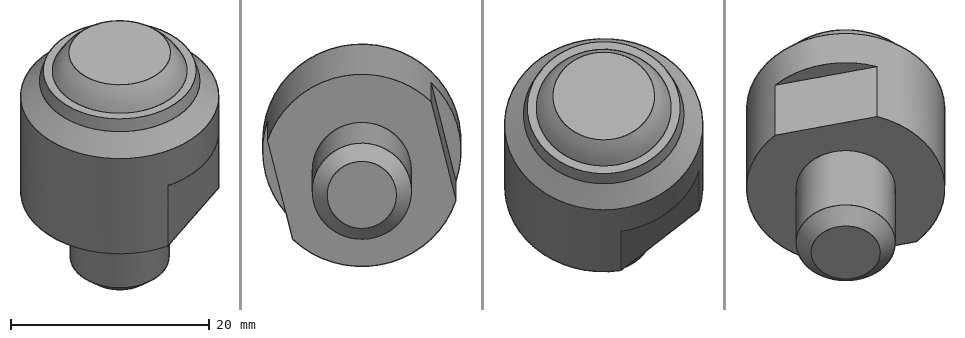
import cadquery as cq
import math

total_height = 28.0
body_radius = 10.0
stud_radius = body_radius / 2
stud_length = 10.0
stud_chamfer = 1.5
body_top = 22.37
shoulder_top = 24.33
collar_base_radius = 8.1
collar_top_radius = 7.7
collar_top = 25.68
flat_top = 17.8
flat_distance = 8.48
ball_radius = 7.5
ball_center = 22.5


def ball_radius_at(height):
    """Radius of the ball's horizontal section at a height."""
    return math.sqrt(ball_radius**2 - (height - ball_center) ** 2)


def turned_body():
    """Stud, body, tapered collar and truncated ball, revolved about Z."""
    ball_middle = (collar_top + total_height) / 2
    return (
        cq.Workplane("XZ")
        .moveTo(0, 0)
        .lineTo(stud_radius - stud_chamfer, 0)
        .lineTo(stud_radius, stud_chamfer)
        .lineTo(stud_radius, stud_length)
        .lineTo(body_radius, stud_length)
        .lineTo(body_radius, body_top)
        .lineTo(collar_base_radius, shoulder_top)
        .lineTo(collar_top_radius, collar_top)
        .lineTo(ball_radius_at(collar_top), collar_top)
        .threePointArc(
            (ball_radius_at(ball_middle), ball_middle),
            (ball_radius_at(total_height), total_height),
        )
        .lineTo(0, total_height)
        .close()
        .revolve(360, (0, 0, 0), (0, 1, 0))
    )


def flat_cutter(side):
    """Block that removes one wrench flat on the -X or +X side."""
    return cq.Workplane("XY").box(
        body_radius, 2 * body_radius, flat_top - stud_length, centered=(True, True, False)
    ).translate((side * (flat_distance + body_radius / 2), 0, stud_length))


result = turned_body()
for side in (-1, 1):
    result = result.cut(flat_cutter(side))